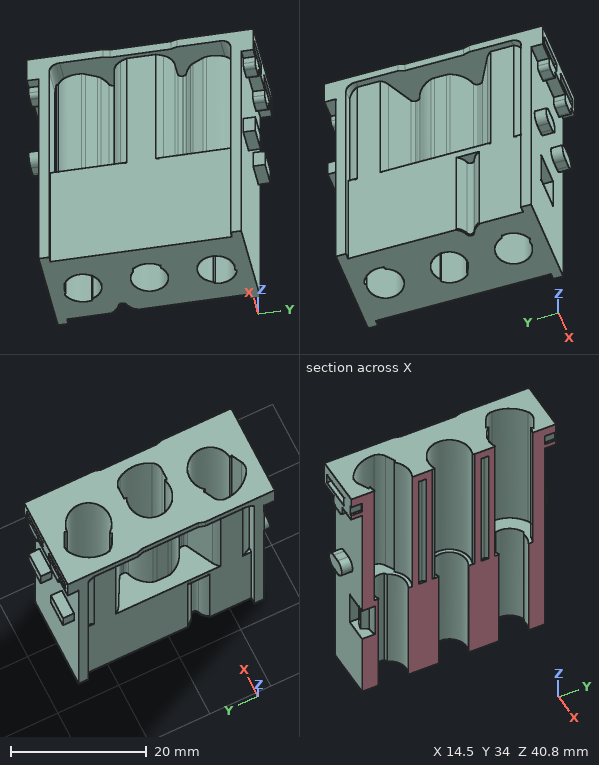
import cadquery as cq
import math

height = 40.75
width = 14.5
head_length = 34.0
body_length = 30.4
head_bottom = 36.47
wall = 1.0

recess_depth = 0.98
recess_length = 27.22
recess_top = 39.15
recess_corner_radius = 1.55
recess_face = width / 2 - recess_depth

waist_depth = 0.3
waist_floor_length = 9.13
waist_mouth_length = 11.1

chamber_pitch = 10.0
lobe_lean = 28.0
chambers = [
    (chamber_pitch, 180 - lobe_lean),
    (0, 0),
    (-chamber_pitch, 180 + lobe_lean),
]
chamber_radius = 3.4
chamber_floor = 18.05
lobe_start = 1.3
lobe_half_width = 3.5
lobe_radius = 5.3
lobe_corner_radius = 1.7
bore_radius = 2.77
key_radius = 3.1
key_half_width = 2.08

tube_radius = chamber_radius + wall
tube_lobe_radius = 6.65
centred_lobe_start = 0.0
leaning_lobe_start = -1.4
tube_lobe_half_width = lobe_half_width + wall
tube_lobe_corner_radius = 2.53
tube_flat_distance = 4.25
tube_flat_blend = 1.65
cavity_floor = chamber_floor
web_thickness = 1.95
web_fillet = 0.6
pick_margin = 0.05

groove_top = 16.7
groove_centre = -chamber_pitch / 2
groove_half_width = 1.8
groove_shoulder_half_width = 0.57
groove_shoulder_depth = 1.3
groove_depth = 1.7
groove_shoulder_radius = 2.45
groove_foot_height = 0.3
groove_foot_relief = 0.1

slot_length = 5.4
slot_height = 1.6
slot_bottom = 37.4
slot_centre = 3.7
slot_depth = 1.8
tab_length = 2.85
tab_bottom = 34.75
tab_corner_radius = 0.7
tab_centres = (-2.95, 4.3)
peg_length = 4.05
peg_height = 2.75
peg_level = 22.85
peg_centre = 3.7

window_width = 5.25
window_bottom = 11.0
window_top = 16.7
window_depth = 3.18
post_radius = 3.35
post_lobe_radius = 4.5
post_step_outer_x = -0.6
post_step_inner_x = 0.0


def box(x_range, y_range, z_range):
    """Block between the given limits along each axis."""
    sizes = [high - low for low, high in (x_range, y_range, z_range)]
    corner = (x_range[0], y_range[0], z_range[0])
    return cq.Workplane("XY").box(*sizes, centered=False).translate(corner)


def lobe(start, half_width, radius, corner_radius, bottom, top):
    """Parallel-sided lobe along +X, closed by an arc about the Z axis."""
    corner_x = math.sqrt(radius**2 - half_width**2)
    outline = (
        cq.Workplane("XY", origin=(0, 0, bottom))
        .moveTo(start, -half_width)
        .lineTo(corner_x, -half_width)
        .threePointArc((radius, 0), (corner_x, half_width))
        .lineTo(start, half_width)
        .close()
        .extrude(top - bottom)
    )
    if corner_radius:
        outline = outline.edges("|Z").edges(">X").fillet(corner_radius)
    return outline


def cylinder(radius, bottom, top):
    return cq.Workplane("XY", origin=(0, 0, bottom)).circle(radius).extrude(top - bottom)


def place(shape, y, angle):
    """Turn a chamber shape about its own axis and move it to its place."""
    return shape.rotate((0, 0, 0), (0, 0, 1), angle).translate((0, y, 0))


def chamber():
    pocket = cylinder(chamber_radius, chamber_floor, height).union(
        lobe(lobe_start, lobe_half_width, lobe_radius, lobe_corner_radius, chamber_floor, height)
    )
    bore = cylinder(bore_radius, 0, height)
    key = lobe(0, key_half_width, key_radius, 0, 0, height)
    return pocket.union(bore).union(key)


def tube(lobe_begin):
    """Outside of a chamber wall, flattened opposite its lobe."""
    barrel = cylinder(tube_radius, cavity_floor, recess_top)
    reach = (-tube_radius, tube_radius)
    barrel = barrel.intersect(box((-tube_flat_distance, tube_radius), reach, (cavity_floor, recess_top)))
    barrel = barrel.faces("<X").edges("|Z").fillet(tube_flat_blend)
    return barrel.union(
        lobe(
            lobe_begin,
            tube_lobe_half_width,
            tube_lobe_radius,
            tube_lobe_corner_radius,
            cavity_floor,
            recess_top,
        )
    )


def rounded_block(x_range, bottom):
    """Recess outline with rounded upper corners, filled between two X limits."""
    block = box(x_range, (-recess_length / 2, recess_length / 2), (bottom, recess_top))
    return block.edges("|X and >Z").fillet(recess_corner_radius)


def recess(side):
    return rounded_block(sorted((side * recess_face, side * width / 2)), 0)


def deep_cavity(side):
    """Space between the chamber walls, down to the web in the middle."""
    web_face = side * web_thickness / 2
    x_range = sorted((web_face, side * recess_face))
    y_range = (-recess_length / 2, recess_length / 2)
    cavity = box(x_range, y_range, (cavity_floor, recess_top))
    for y, angle in chambers:
        lobe_begin = leaning_lobe_start if y else centred_lobe_start
        cavity = cavity.cut(place(tube(lobe_begin), y, angle))
    valley = cq.selectors.BoxSelector(
        (web_face - pick_margin, -recess_length / 2, cavity_floor),
        (web_face + pick_margin, recess_length / 2, recess_top),
    )
    cavity = cavity.edges("|Z").edges(valley).fillet(web_fillet)
    return cavity.intersect(rounded_block(x_range, cavity_floor))


def waist(side):
    """Sloped-ended trim of the lip."""
    outer = side * width / 2
    inner = outer - side * waist_depth
    return (
        cq.Workplane("XY", origin=(0, 0, recess_top))
        .polyline(
            [
                (outer, -waist_mouth_length / 2),
                (inner, -waist_floor_length / 2),
                (inner, waist_floor_length / 2),
                (outer, waist_mouth_length / 2),
            ]
        )
        .close()
        .extrude(height - recess_top)
    )


def groove():
    """Groove in the -X face: convex shoulders running into a round valley."""
    lip = -recess_face
    shoulder = lip + groove_shoulder_depth
    outer_y = groove_half_width
    inner_y = groove_shoulder_half_width
    span_x = groove_shoulder_depth
    span_y = outer_y - inner_y
    chord = math.hypot(span_x, span_y)
    sagitta = groove_shoulder_radius - math.sqrt(groove_shoulder_radius**2 - chord**2 / 4)
    bulge_x = (lip + shoulder) / 2 - sagitta * span_y / chord
    bulge_y = (outer_y + inner_y) / 2 - sagitta * span_x / chord
    channel = (
        cq.Workplane("XY")
        .moveTo(lip, outer_y)
        .threePointArc((bulge_x, bulge_y), (shoulder, inner_y))
        .threePointArc((lip + groove_depth, 0), (shoulder, -inner_y))
        .threePointArc((bulge_x, -bulge_y), (lip, -outer_y))
        .close()
        .extrude(groove_top)
        .translate((0, groove_centre, 0))
    )
    foot = channel.translate((groove_foot_relief, 0, groove_foot_height - groove_top))
    return channel.union(foot)


def end_slot(side, x):
    y_range = sorted((side * head_length / 2, side * (head_length / 2 - slot_depth)))
    x_range = (x - slot_length / 2, x + slot_length / 2)
    return box(x_range, y_range, (slot_bottom, slot_bottom + slot_height))


def tab(side, x):
    y_range = sorted((side * head_length / 2, side * body_length / 2))
    x_range = (x - tab_length / 2, x + tab_length / 2)
    return box(x_range, y_range, (tab_bottom, head_bottom)).edges("|Y and <Z").fillet(tab_corner_radius)


def round_peg(x):
    """Peg with round ends on the -Y end."""
    return (
        cq.Workplane("XZ", origin=(x, -body_length / 2, peg_level))
        .slot2D(peg_length, peg_height)
        .extrude((head_length - body_length) / 2)
    )


def square_peg(x):
    """Rectangular peg on the +Y end."""
    return box(
        (x - peg_length / 2, x + peg_length / 2),
        (body_length / 2, head_length / 2),
        (peg_level - peg_height / 2, peg_level + peg_height / 2),
    )


def post():
    """Round post about the front chamber with a larger lobe on its -X side."""
    outer_y = -math.sqrt(post_lobe_radius**2 - post_step_outer_x**2)
    lobe_part = (
        cq.Workplane("XY", origin=(0, 0, window_bottom))
        .moveTo(post_step_inner_x, 0)
        .lineTo(post_step_inner_x, -post_radius)
        .lineTo(post_step_outer_x, outer_y)
        .threePointArc(
            (-post_lobe_radius * math.sin(math.pi / 4), -post_lobe_radius * math.cos(math.pi / 4)),
            (-post_lobe_radius, 0),
        )
        .close()
        .extrude(window_top - window_bottom)
    )
    post_shape = cylinder(post_radius, window_bottom, window_top).union(lobe_part)
    return post_shape.translate((0, -chamber_pitch, 0))


def window():
    opening = box(
        (-window_width / 2, window_width / 2),
        (-body_length / 2, -body_length / 2 + window_depth),
        (window_bottom, window_top),
    )
    return opening.cut(post())


x_limits = (-width / 2, width / 2)
result = box(x_limits, (-body_length / 2, body_length / 2), (0, height)).union(
    box(x_limits, (-head_length / 2, head_length / 2), (head_bottom, height))
)

for side in (-1, 1):
    result = result.cut(recess(side)).cut(deep_cavity(side)).cut(waist(side))
    for x in (-slot_centre, slot_centre):
        result = result.cut(end_slot(side, x))
    for x in tab_centres:
        result = result.union(tab(side, x))

for x in (-peg_centre, peg_centre):
    result = result.union(round_peg(x)).union(square_peg(x))

for y, angle in chambers:
    result = result.cut(place(chamber(), y, angle))

result = result.cut(groove()).cut(window())